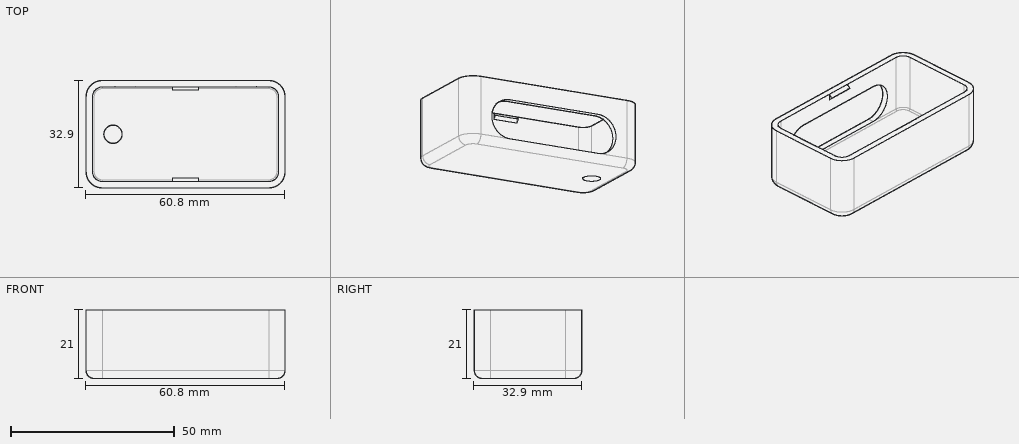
import cadquery as cq

LENGTH = 60.8
WIDTH = 32.86
HEIGHT = 21.0
CORNER_RADIUS = 5.0
BOTTOM_FILLET = 2.5

WALL = 2.0
CAVITY_LENGTH = LENGTH - 2 * WALL
CAVITY_WIDTH = WIDTH - 2 * WALL
CAVITY_CORNER_RADIUS = CORNER_RADIUS - WALL
CAVITY_FILLET = 0.5

HOLE_DIAMETER = 5.5
HOLE_END_DISTANCE = 8.25
HOLE_X = HOLE_END_DISTANCE - LENGTH / 2

WINDOW_LENGTH = 43.2
WINDOW_HEIGHT = 12.5
WINDOW_BOTTOM = WALL + CAVITY_FILLET

SNAP_LENGTH = 8.0
SNAP_DEPTH = 1.0
SNAP_HEIGHT = 2.0


def rounded_block(length, width, bottom, corner_radius, bottom_fillet):
    """Block from Z = bottom up to the rim, with rounded corners and a rounded lower edge."""
    return (
        cq.Workplane("XY", origin=(0, 0, bottom))
        .rect(length, width)
        .extrude(HEIGHT - bottom)
        .edges("|Z")
        .fillet(corner_radius)
        .faces("<Z")
        .edges()
        .fillet(bottom_fillet)
    )


def make_shell():
    body = rounded_block(LENGTH, WIDTH, 0, CORNER_RADIUS, BOTTOM_FILLET)
    cavity = rounded_block(CAVITY_LENGTH, CAVITY_WIDTH, WALL, CAVITY_CORNER_RADIUS, CAVITY_FILLET)
    return body.cut(cavity)


def make_floor_hole():
    return cq.Workplane("XY").center(HOLE_X, 0).circle(HOLE_DIAMETER / 2).extrude(WALL)


def make_window():
    """Slot-shaped cutter as deep as the +Y wall."""
    window_centre = (0, WIDTH / 2, WINDOW_BOTTOM + WINDOW_HEIGHT / 2)
    return cq.Workplane("XZ", origin=window_centre).slot2D(WINDOW_LENGTH, WINDOW_HEIGHT).extrude(WALL)


def make_snap(side):
    """Triangular wedge on the long wall at side = +1 (+Y) or -1 (-Y)."""
    wall_y = side * CAVITY_WIDTH / 2
    tip_y = wall_y - side * SNAP_DEPTH
    return (
        cq.Workplane("YZ")
        .moveTo(wall_y, HEIGHT)
        .lineTo(tip_y, HEIGHT - SNAP_HEIGHT / 2)
        .lineTo(wall_y, HEIGHT - SNAP_HEIGHT)
        .close()
        .extrude(SNAP_LENGTH / 2, both=True)
    )


result = make_shell().cut(make_floor_hole()).cut(make_window())
for side in (1, -1):
    result = result.union(make_snap(side))